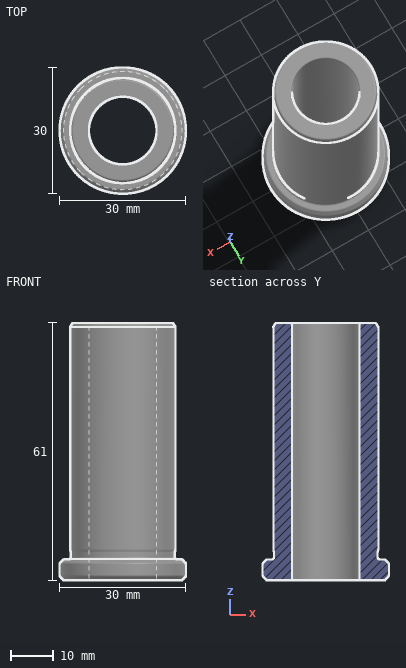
import cadquery as cq
import math

length = 61.0
bore_radius = 16.0 / 2
shank_radius = 25.0 / 2
undercut_radius = 24.7 / 2
flange_radius = 30.0 / 2

flange_height = 5.0
flange_chamfer = 1.0

undercut_top = 7.25
undercut_taper_height = 0.6

lead_height = 1.0
lead_angle = 30.0
lead_depth = lead_height * math.tan(math.radians(lead_angle))

edge_round = 0.5
bore_round = 0.3


def round_circle(body, radius, height, fillet_radius):
    """Round the circular edge of the given radius at the given height."""
    tolerance = 0.03
    edges = [
        edge
        for edge in body.edges("%CIRCLE").vals()
        if abs(edge.radius() - radius) < tolerance and abs(edge.Center().z - height) < tolerance
    ]
    return body.newObject(edges).fillet(fillet_radius)


section = [
    (bore_radius, 0),
    (flange_radius - flange_chamfer, 0),
    (flange_radius, flange_chamfer),
    (flange_radius, flange_height - flange_chamfer),
    (flange_radius - flange_chamfer, flange_height),
    (undercut_radius, flange_height),
    (undercut_radius, undercut_top - undercut_taper_height),
    (shank_radius, undercut_top),
    (shank_radius, length - lead_height),
    (shank_radius - lead_depth, length),
    (bore_radius, length),
]
body = cq.Workplane("XZ").polyline(section).close().revolve(360, (0, 0), (0, 1))

rounded_circles = [
    (flange_radius, flange_chamfer),
    (flange_radius, flange_height - flange_chamfer),
    (flange_radius - flange_chamfer, flange_height),
    (undercut_radius, flange_height),
    (shank_radius - lead_depth, length),
]
for radius, height in rounded_circles:
    body = round_circle(body, radius, height, edge_round)

result = round_circle(body, bore_radius, length, bore_round)